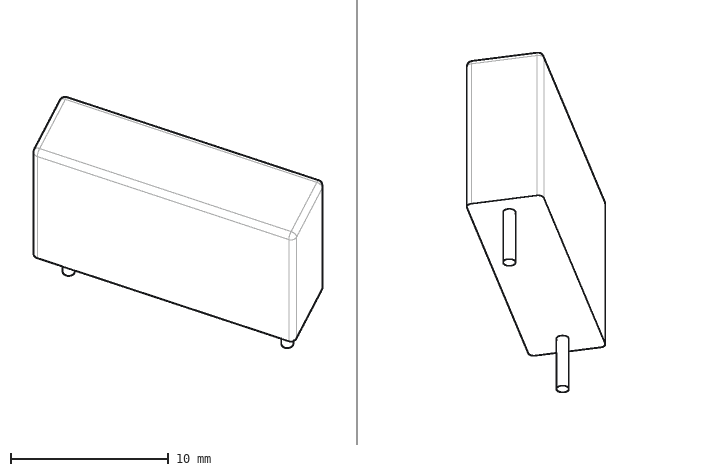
import cadquery as cq

case_length = 18.0
case_width = 5.0
case_height = 11.0
edge_radius = 0.38

lead_pitch = 15.0
lead_diameter = 0.8
lead_length = 3.8


def make_case():
    """Block with rounded upright and top edges and a sharp bottom edge."""
    block = cq.Workplane("XY").box(
        case_length, case_width, case_height, centered=(True, True, False)
    )
    return block.edges("|Z or >Z").fillet(edge_radius)


def make_lead(x_position):
    """Round lead hanging from the flat underside of the case."""
    return (
        cq.Workplane("XY")
        .center(x_position, 0)
        .circle(lead_diameter / 2)
        .extrude(-lead_length)
    )


case = make_case()
leads = [make_lead(side * lead_pitch / 2) for side in (-1, 1)]

result = cq.Compound.makeCompound([case.val(), *[lead.val() for lead in leads]])